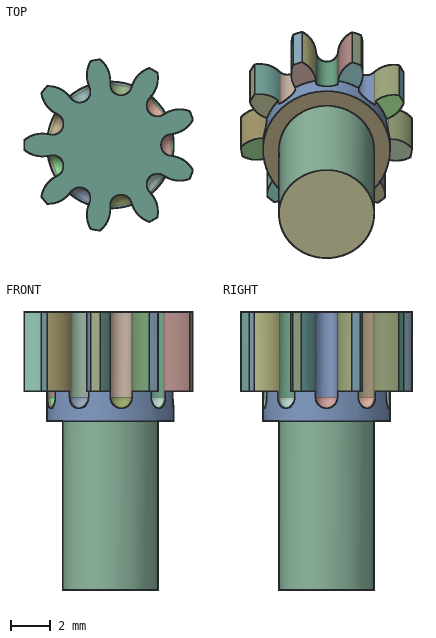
import cadquery as cq
import math

total_length = 14.0
gear_face_width = 4.0
collar_length = 1.5
gear_bottom = total_length - gear_face_width
collar_bottom = gear_bottom - collar_length

shaft_diameter = 4.8
collar_diameter = 6.4

tooth_count = 9
tooth_pitch = 360.0 / tooth_count
tip_diameter = 8.7
tip_radius = tip_diameter / 2
tip_half_width = 0.24
flank_radius = 1.4

root_radius = 2.55
gap_radius = 0.55
gap_runout = 0.28
runout_height = gear_bottom - gap_runout
cutter_overshoot = 0.28
cut_radius = tip_radius + cutter_overshoot


def polar(radius, angle):
    """Point at the given radius and angle in radians."""
    return (radius * math.cos(angle), radius * math.sin(angle))


def toward(start, end, distance):
    """Point at the given distance from start along the line to end."""
    share = distance / math.dist(start, end)
    return tuple(a + (b - a) * share for a, b in zip(start, end))


def flank_center(tip, gap_center):
    """Center of the flank arc that ends at the tip and is tangent to the gap arc."""
    span = math.dist(tip, gap_center)
    along = (span**2 + flank_radius**2 - (flank_radius + gap_radius) ** 2) / (2 * span)
    across = math.sqrt(flank_radius**2 - along**2)
    foot = toward(tip, gap_center, along)
    unit_x = (gap_center[0] - tip[0]) / span
    unit_y = (gap_center[1] - tip[1]) / span
    return (foot[0] + across * unit_y, foot[1] - across * unit_x)


half_pitch = math.radians(tooth_pitch / 2)
tip_corner = polar(tip_radius, half_pitch - math.asin(tip_half_width / tip_radius))
root_center = (root_radius + gap_radius, 0)
bulge_center = flank_center(tip_corner, root_center)
tangent_point = toward(root_center, bulge_center, gap_radius)
chord_middle = toward(tangent_point, tip_corner, math.dist(tangent_point, tip_corner) / 2)
flank_middle = toward(bulge_center, chord_middle, flank_radius)
root_bottom = (root_radius, 0)
root_turn = math.atan2(tangent_point[1], tangent_point[0] - root_center[0])
root_offset = polar(gap_radius, (math.pi + root_turn) / 2)
root_middle = (root_center[0] + root_offset[0], root_offset[1])
gap_mouth = (cut_radius, tip_corner[1])


def half_gap(height):
    """Closed outline of the upper half of a gap, drawn at the given height."""
    return (
        cq.Workplane("XY", origin=(0, 0, height))
        .moveTo(*root_bottom)
        .threePointArc(root_middle, tangent_point)
        .threePointArc(flank_middle, tip_corner)
        .lineTo(*gap_mouth)
        .lineTo(cut_radius, 0)
        .close()
    )


def gap_cutter():
    """Straight gap through the teeth, with its profile turned about its own axis below."""
    half = half_gap(runout_height).extrude(total_length - runout_height)
    straight = half.union(half.mirror("XZ"))
    bottom = half_gap(runout_height).revolve(360, root_bottom, root_center)
    return straight.union(bottom)


shaft = cq.Workplane("XY").circle(shaft_diameter / 2).extrude(collar_bottom)
collar = (
    cq.Workplane("XY", origin=(0, 0, collar_bottom))
    .circle(collar_diameter / 2)
    .extrude(collar_length)
)
gear_blank = (
    cq.Workplane("XY", origin=(0, 0, gear_bottom))
    .circle(tip_radius)
    .extrude(gear_face_width)
)
result = shaft.union(collar).union(gear_blank)

cutter = gap_cutter()
for gap in range(tooth_count):
    result = result.cut(cutter.rotate((0, 0, 0), (0, 0, 1), gap * tooth_pitch))